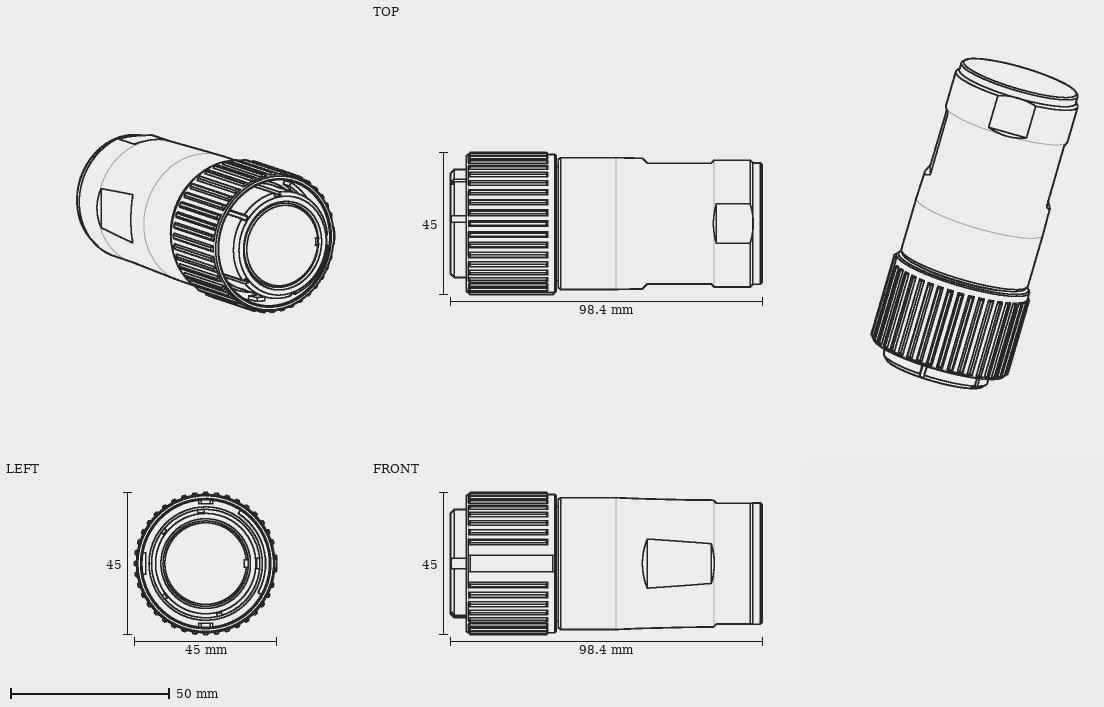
import cadquery as cq

LENGTH = 98.4
OUTER_DIAMETER = 45.0
MAX_RADIUS = OUTER_DIAMETER / 2

PLUG_RADIUS = 17.1
PLUG_CHAMFER = 1.3
PLUG_MOUTH_RADIUS = 14.2
INSERT_RADIUS = 13.5
INSERT_CHAMFER = 0.6
INSERT_RECESS = 0.2
INSERT_NOTCH_WIDTH = 2.3
INSERT_NOTCH_FLOOR = 12.2
INSERT_NOTCH_DEPTH = 1.2
KEYWAY_FLOOR = 16.1
KEYWAYS = [(84.9, 2.1), (37.4, 1.5), (-38.8, 1.5), (-105.0, 1.5), (180.0, 3.3)]

NUT_START = 5.0
NUT_END = 33.5
NUT_RADIUS = 21.8
NUT_FRONT_CHAMFER = 0.7
NUT_FRONT_DROP = 0.4
NUT_REAR_CHAMFER = 0.5
NUT_BORE_RADIUS = 20.2
NUT_BORE_CHAMFER = 0.4
NUT_FLOOR = 17.7
FLOOR_CONE_HEIGHT = 0.8

LUG_START = 13.8
LUG_INNER_RADIUS = 18.9
LUG_OUTER_RADIUS = NUT_BORE_RADIUS + NUT_BORE_CHAMFER
NARROW_LUG_WIDTH = 4.5
NARROW_LUG_TIP_WIDTH = 2.8
SIDE_LUG_WIDTH = 6.9
WIDE_LUG_START_ANGLE = 123.0
WIDE_LUG_SWEEP = 86.0

RIB_COUNT = 40
RIB_START = 5.7
RIB_END = 30.9
RIB_WIDTH = 2.1
RIB_TAPER = 35.0
RIB_ROOT_RADIUS = 21.6
PAD_WIDTH = 5.1
PAD_START = 5.7
PAD_END = 33.0
PAD_CHAMFER = 0.6

NECK_RADIUS = 18.1
BODY_START = 34.0
BODY_RADIUS = 20.9
BODY_FRONT_CHAMFER = 0.9
BODY_FRONT_DROP = 0.6
TAPER_START = 52.2
TAPER_END = 83.1
COLLAR_RADIUS = 20.1
COLLAR_CHAMFER = 0.9
COLLAR_END = 95.5
TAIL_RADIUS = 19.2
TAIL_CHAMFER = 0.6

FLAT_RADIUS = 19.1
SIDE_FLAT_START = 62.2
SIDE_FLAT_END = 82.4
TOP_FLAT_START = 84.0
FLAT_CUT_HEIGHT = 3.0


def revolve_about_x(points):
    """Solid of revolution from (x, radius) points."""
    return cq.Workplane("XY").polyline(points).close().revolve(360, (0, 0), (1, 0))


def box(x_start, x_end, y_start, y_end, z_width):
    """Box centred on z = 0."""
    middle = ((x_start + x_end) / 2, (y_start + y_end) / 2, 0)
    return cq.Workplane("XY").box(x_end - x_start, y_end - y_start, z_width).translate(middle)


def turn(shape, angle):
    """Turn a shape about the part axis, from +Y towards +Z."""
    return shape.rotate((0, 0, 0), (1, 0, 0), angle)


def turned_envelope():
    groove_floor = INSERT_RECESS + INSERT_CHAMFER
    insert_face_radius = INSERT_RADIUS - INSERT_CHAMFER
    return revolve_about_x([
        (INSERT_RECESS, 0),
        (INSERT_RECESS, insert_face_radius),
        (groove_floor, INSERT_RADIUS),
        (0, PLUG_MOUTH_RADIUS),
        (0, PLUG_RADIUS - PLUG_CHAMFER),
        (PLUG_CHAMFER, PLUG_RADIUS),
        (NUT_FLOOR - FLOOR_CONE_HEIGHT, PLUG_RADIUS),
        (NUT_FLOOR, PLUG_RADIUS + FLOOR_CONE_HEIGHT),
        (NUT_FLOOR, NUT_BORE_RADIUS),
        (NUT_START + NUT_BORE_CHAMFER, NUT_BORE_RADIUS),
        (NUT_START, NUT_BORE_RADIUS + NUT_BORE_CHAMFER),
        (NUT_START, NUT_RADIUS - NUT_FRONT_DROP),
        (NUT_START + NUT_FRONT_CHAMFER, NUT_RADIUS),
        (NUT_END - NUT_REAR_CHAMFER, NUT_RADIUS),
        (NUT_END, NUT_RADIUS - NUT_REAR_CHAMFER),
        (NUT_END, NECK_RADIUS),
        (BODY_START, NECK_RADIUS),
        (BODY_START, BODY_RADIUS - BODY_FRONT_DROP),
        (BODY_START + BODY_FRONT_CHAMFER, BODY_RADIUS),
        (TAPER_START, BODY_RADIUS),
        (TAPER_END, COLLAR_RADIUS),
        (COLLAR_END - COLLAR_CHAMFER, COLLAR_RADIUS),
        (COLLAR_END, TAIL_RADIUS),
        (LENGTH - TAIL_CHAMFER, TAIL_RADIUS),
        (LENGTH, TAIL_RADIUS - TAIL_CHAMFER),
        (LENGTH, 0),
    ])


def grip_rib():
    """Tapered rib standing on the +Y side of the nut."""
    return (
        cq.Workplane("XZ", origin=((RIB_START + RIB_END) / 2, RIB_ROOT_RADIUS, 0))
        .rect(RIB_END - RIB_START, RIB_WIDTH)
        .extrude(-(MAX_RADIUS - RIB_ROOT_RADIUS), taper=RIB_TAPER)
    )


def index_pad():
    """Smooth raised pad on the -Y side of the nut."""
    ring = revolve_about_x([
        (PAD_START, NUT_BORE_RADIUS),
        (PAD_START, MAX_RADIUS - PAD_CHAMFER),
        (PAD_START + PAD_CHAMFER, MAX_RADIUS),
        (PAD_END - PAD_CHAMFER, MAX_RADIUS),
        (PAD_END, MAX_RADIUS - PAD_CHAMFER),
        (PAD_END, NUT_BORE_RADIUS),
    ])
    return ring.intersect(box(PAD_START, PAD_END, -MAX_RADIUS, 0, PAD_WIDTH))


def straight_lug(root_width, tip_width):
    """Flat-faced lug on the +Y side of the nut bore, narrowing towards the mating face."""
    return (
        cq.Workplane("XZ", origin=(0, LUG_INNER_RADIUS, 0))
        .moveTo(LUG_START, -tip_width / 2)
        .lineTo(NUT_FLOOR, -root_width / 2)
        .lineTo(NUT_FLOOR, root_width / 2)
        .lineTo(LUG_START, tip_width / 2)
        .close()
        .extrude(LUG_INNER_RADIUS - LUG_OUTER_RADIUS)
    )


def wide_lug():
    """Curved lug along the -Y side of the nut bore."""
    section = (
        cq.Workplane("XY")
        .moveTo(LUG_START, LUG_INNER_RADIUS)
        .lineTo(NUT_FLOOR, LUG_INNER_RADIUS)
        .lineTo(NUT_FLOOR, LUG_OUTER_RADIUS)
        .lineTo(LUG_START, LUG_OUTER_RADIUS)
        .close()
    )
    return turn(section.revolve(WIDE_LUG_SWEEP, (0, 0), (1, 0)), WIDE_LUG_START_ANGLE)


def wrench_flat(start, end):
    """Cutter for a flat on the +Y side, with 45 degree end walls."""
    return (
        cq.Workplane("XY")
        .moveTo(start, FLAT_RADIUS)
        .lineTo(end, FLAT_RADIUS)
        .lineTo(end + FLAT_CUT_HEIGHT, FLAT_RADIUS + FLAT_CUT_HEIGHT)
        .lineTo(start - FLAT_CUT_HEIGHT, FLAT_RADIUS + FLAT_CUT_HEIGHT)
        .close()
        .extrude(BODY_RADIUS, both=True)
    )


result = turned_envelope()

rib_pitch = 360 / RIB_COUNT
pad_index = RIB_COUNT // 2
for index in range(RIB_COUNT):
    if abs(index - pad_index) > 1:
        result = result.union(turn(grip_rib(), index * rib_pitch))
result = result.union(index_pad())

result = result.union(straight_lug(SIDE_LUG_WIDTH, SIDE_LUG_WIDTH))
for angle in (90, -90):
    result = result.union(turn(straight_lug(NARROW_LUG_WIDTH, NARROW_LUG_TIP_WIDTH), angle))
result = result.union(wide_lug())

for angle, width in KEYWAYS:
    keyway = box(0, NUT_FLOOR - FLOOR_CONE_HEIGHT, KEYWAY_FLOOR, LUG_INNER_RADIUS, width)
    result = result.cut(turn(keyway, angle))

insert_notch = box(0, INSERT_NOTCH_DEPTH, -INSERT_RADIUS, -INSERT_NOTCH_FLOOR, INSERT_NOTCH_WIDTH)
result = result.cut(insert_notch)

for angle in (0, 180):
    result = result.cut(turn(wrench_flat(SIDE_FLAT_START, SIDE_FLAT_END), angle))
for angle in (90, -90):
    result = result.cut(turn(wrench_flat(TOP_FLAT_START, COLLAR_END), angle))